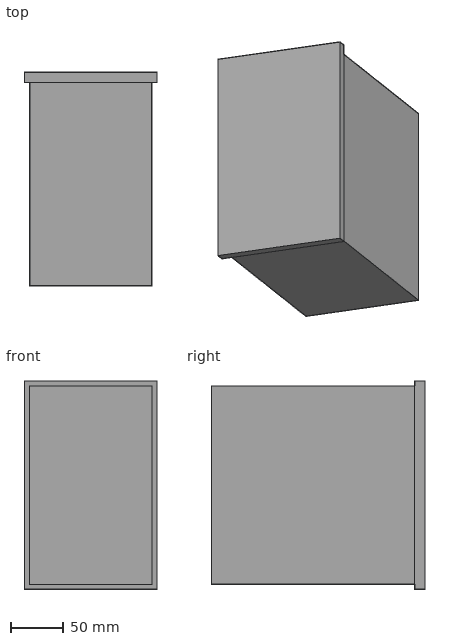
import cadquery as cq

flange_width = 127.0
flange_height = 200.0
total_depth = 204.9

flange_thickness = 10.0
flange_overhang = 5.0

body_width = flange_width - 2 * flange_overhang
body_height = flange_height - 2 * flange_overhang
body_depth = total_depth - flange_thickness

body = cq.Workplane("XY").box(body_width, body_depth, body_height, centered=(True, False, True))

flange = (
    cq.Workplane("XY")
    .box(flange_width, flange_thickness, flange_height, centered=(True, False, True))
    .translate((0, body_depth, 0))
)

result = body.union(flange)